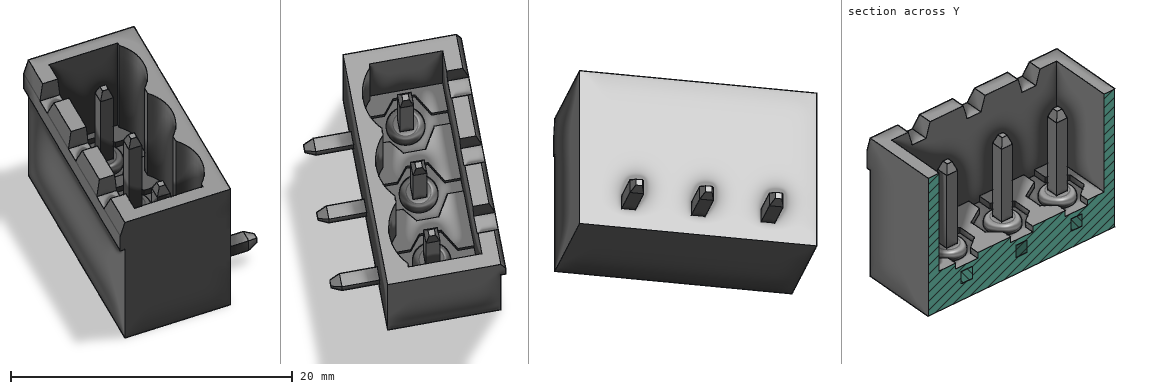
import cadquery as cq
import math


width = 17.24
depth = 8.17
height = 12.0
lip_depth = 0.36
lip_bottom = height - 2.81
lip_slope_height = 1.28

pin_count = 3
pin_pitch = 5.07
pin_size = 1.0
pin_tip_size = 0.47
pin_tip_length = 0.74
pin_y = 4.33
mating_top = height - lip_slope_height
tail_z = 1.98
tail_length = 3.47

side_wall = 1.02
cavity_front = 1.17
cavity_back = depth - 1.7
bay_back = depth - 0.8
bay_half_width = 2.28
cavity_floor = 3.5

recess_floor = 3.0
recess_half_width = 2.03
recess_back_half_width = 1.02
recess_neck_half_width = 0.48
recess_neck_end = pin_y - 1.98
recess_wide_front = pin_y - 1.05
recess_wide_back = pin_y + 0.52
recess_back_start = pin_y + 1.33

collar_diameter = 2.75
collar_flat_diameter = 1.78
collar_top = cavity_floor + 0.17

notch_top_width = 2.02
notch_floor_width = 1.28

pin_xs = [(i - (pin_count - 1) / 2) * pin_pitch for i in range(pin_count)]


def make_block():
    """Rectangular block with a sloped latching lip along the top of its front."""
    profile = [
        (0, 0),
        (depth, 0),
        (depth, height),
        (0, height),
        (-lip_depth, height - lip_slope_height),
        (-lip_depth, lip_bottom),
        (0, lip_bottom),
    ]
    return cq.Workplane("YZ").polyline(profile).close().extrude(width / 2, both=True)


def make_cavity(floor):
    """Cavity volume from the given floor level up to the housing top."""
    half_width = width / 2 - side_wall
    outline = (
        cq.Workplane("XY", origin=(0, 0, floor))
        .moveTo(half_width, cavity_front)
        .lineTo(-half_width, cavity_front)
        .lineTo(-half_width, cavity_back)
    )
    for x in pin_xs:
        outline = outline.lineTo(x - bay_half_width, cavity_back).threePointArc(
            (x, bay_back), (x + bay_half_width, cavity_back)
        )
    return outline.lineTo(half_width, cavity_back).close().extrude(height - floor)


def make_recess(x):
    """Keyhole recess below the cavity floor, ending at the cavity's front and back walls."""
    right_side = [
        (recess_neck_half_width, cavity_front),
        (recess_neck_half_width, recess_neck_end),
        (recess_half_width, recess_wide_front),
        (recess_half_width, recess_wide_back),
        (recess_back_half_width, recess_back_start),
        (recess_back_half_width, bay_back),
    ]
    left_side = [(-dx, y) for dx, y in reversed(right_side)]
    outline = [(x + dx, y) for dx, y in right_side + left_side]
    prism = (
        cq.Workplane("XY", origin=(0, 0, recess_floor))
        .polyline(outline)
        .close()
        .extrude(cavity_floor - recess_floor)
    )
    return prism.intersect(make_cavity(recess_floor))


def make_collar(x):
    """Round collar standing on the recess floor."""
    return (
        cq.Workplane("XY", origin=(x, pin_y, recess_floor))
        .circle(collar_diameter / 2)
        .extrude(collar_top - recess_floor)
        .faces(">Z")
        .edges()
        .fillet((collar_diameter - collar_flat_diameter) / 2)
    )


def make_notch(x):
    """Notch through the front wall, narrowing towards its floor."""
    outline = [
        (x - notch_top_width / 2, height),
        (x + notch_top_width / 2, height),
        (x + notch_floor_width / 2, height - lip_slope_height),
        (x - notch_floor_width / 2, height - lip_slope_height),
    ]
    return (
        cq.Workplane("XZ", origin=(0, cavity_front, 0))
        .polyline(outline)
        .close()
        .extrude(cavity_front + lip_depth)
    )


def make_bar(plane, length):
    """Square bar along the plane's normal, tapered at its far end."""
    taper = math.degrees(math.atan((pin_size - pin_tip_size) / 2 / pin_tip_length))
    shank = cq.Workplane(plane).rect(pin_size, pin_size).extrude(length - pin_tip_length)
    tip = (
        cq.Workplane(plane)
        .workplane(offset=length - pin_tip_length)
        .rect(pin_size, pin_size)
        .extrude(pin_tip_length, taper=taper)
    )
    return shank.union(tip)


def make_pin(x):
    """Right-angle contact: upright mating bar and a tail leaving through the back wall."""
    bend_bottom = tail_z - pin_size / 2
    bend_front = pin_y - pin_size / 2
    upright_plane = cq.Plane(origin=(x, pin_y, bend_bottom), xDir=(1, 0, 0), normal=(0, 0, 1))
    tail_plane = cq.Plane(origin=(x, bend_front, tail_z), xDir=(1, 0, 0), normal=(0, 1, 0))
    upright = make_bar(upright_plane, mating_top - bend_bottom)
    tail = make_bar(tail_plane, depth + tail_length - bend_front)
    return upright.union(tail)


def make_housing(pins):
    """Housing with cavity, recesses, collars, notches and a fitting passage for each contact."""
    body = make_block().cut(make_cavity(cavity_floor))
    for x, pin in zip(pin_xs, pins):
        body = body.cut(make_recess(x)).union(make_collar(x))
        body = body.cut(make_notch(x)).cut(pin)
    return body


pins = [make_pin(x) for x in pin_xs]
housing = make_housing(pins)

result = cq.Compound.makeCompound([housing.val(), *[pin.val() for pin in pins]])